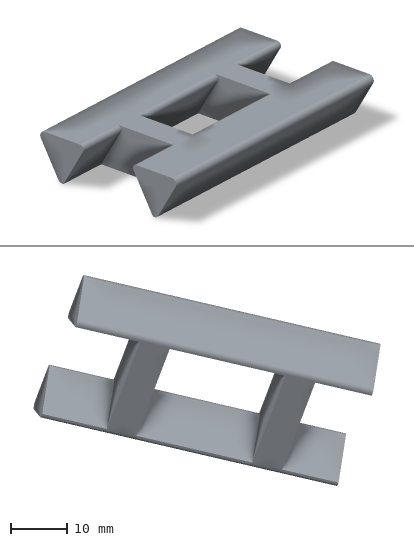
import cadquery as cq
import math

overall_width = 31.44
length = 55.0
height = 9.0

flank_angle = math.radians(60)
outer_edge_radius = 1.0
inner_edge_radius = 0.8
gap_width = 11.48

bar_width = 5.5
front_bar_offset = 10.5
back_bar_offset = 12.0

flank_run = height / math.tan(flank_angle)


def rounding_loss(radius):
    """Width lost when a sharp upper rail edge is rounded to the given radius."""
    return radius / math.tan(flank_angle / 2) - radius


outer_top = overall_width / 2 + rounding_loss(outer_edge_radius)
outer_bottom = outer_top - flank_run
inner_top = gap_width / 2 - rounding_loss(inner_edge_radius)
inner_bottom = inner_top + flank_run


def extrude_along_y(points, y_start, y_length):
    """Extrude an XZ outline from y_start towards +Y."""
    plane = cq.Workplane("XZ", origin=(0, y_start, 0))
    return plane.polyline(points).close().extrude(-y_length)


def make_rail():
    """Right-hand rail with rounded upper edges and a rounded outer lower edge."""
    outline = [
        (inner_top, height),
        (outer_top, height),
        (outer_bottom, 0),
        (inner_bottom, 0),
    ]
    rail = extrude_along_y(outline, -length / 2, length)
    rail = rail.edges("|Y and >Z").edges("<X").fillet(inner_edge_radius)
    rail = rail.edges("|Y and >Z").edges(">X").fillet(outer_edge_radius)
    return rail.edges("|Y and <Z").edges(">X").fillet(outer_edge_radius)


def make_bar(y_start):
    """Cross bar that fills the gap between the two rails over the full height."""
    bar_half_top = (inner_top + outer_top) / 2
    outline = [
        (-bar_half_top, height),
        (bar_half_top, height),
        (inner_bottom, 0),
        (-inner_bottom, 0),
    ]
    return extrude_along_y(outline, y_start, bar_width)


right_rail = make_rail()
left_rail = right_rail.mirror("YZ")
front_bar = make_bar(-length / 2 + front_bar_offset)
back_bar = make_bar(length / 2 - back_bar_offset - bar_width)

result = right_rail.union(left_rail).union(front_bar).union(back_bar).clean()